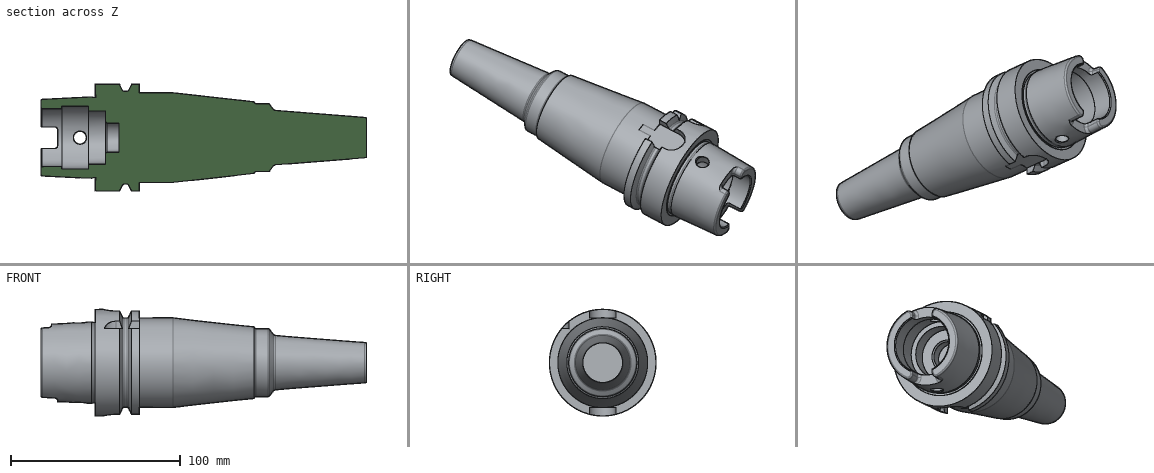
import cadquery as cq
import math


shank_length = 32.0
shank_taper = 1 / 20
shank_large_radius = 24.1
shank_end_round = 1.0

relief_start = -2.3
relief_floor_start = -1.2
relief_radius = 23.8
face_recess_radius = 25.1
face_recess_depth = 0.4

flange_radius = 31.5
flange_width = 26.0
groove_center = 17.9
groove_mouth_width = 7.0
groove_floor_width = 3.0
groove_floor_radius = 27.5
groove_floor_round = 0.9

body_radius = 26.5
body_cylinder_end = 46.0
body_cone_end = 93.6
body_cone_end_radius = 21.2
collar_start = 94.4
collar_foot_round = 0.7
collar_end = 102.5
collar_rim_round = 1.2
collar_radius = 20.1
nose_start = 105.5
nose_foot_round = 1.5
nose_end = 160.0
nose_end_radius = 12.0
nose_half_angle = math.radians(4.5)
nose_chamfer_length = 1.3
nose_chamfer_depth = 0.3

bore_radius = 17.0
bore_chamfer = 0.6
bore_lip_end = -19.6
undercut_radius = 18.5
undercut_end = -4.0
socket_radius = 15.6
socket_end = 6.0
center_hole_radius = 8.5
center_hole_chamfer = 0.9
center_hole_end = 14.0

cross_hole_x = -9.0
cross_hole_radius = 3.75
cross_hole_chamfer = 0.4

drive_slot_width = 12.54
drive_slot_inner_z = 10.0
drive_slot_rim_round = 2.7
drive_slot_floor_round = 1.6
upper_drive_slot_depth = 6.1
lower_drive_slot_depth = 9.8

keyway_width = 15.5
keyway_floor = 26.4
keyway_start = 4.6
keyway_end = 34.0

notch_wall_y = -19.85
notch_floor_z = 20.1
notch_start = 4.6

clearance = 10.0
tolerance = 0.05
edge_inset = 0.7


def shank_radius(x):
    return shank_large_radius + shank_taper * (x - relief_start)


def revolve_about_axis(outline):
    """Revolve a list of (x, radius) points about the tool axis."""
    return cq.Workplane("XY").polyline(outline).close().revolve(360, (0, 0, 0), (1, 0, 0))


def round_circle(body, x, radius, round_radius):
    """Round the circular edge that lies at x with the given radius."""

    def is_that_circle(edge):
        matches_x = abs(edge.Center().x - x) < tolerance
        return matches_x and edge.geomType() == "CIRCLE" and abs(edge.radius() - radius) < tolerance

    return body.edges().filter(is_that_circle).fillet(round_radius)


def make_body():
    half_mouth = groove_mouth_width / 2
    half_floor = groove_floor_width / 2
    nose_chamfer_start = nose_end - nose_chamfer_length
    nose_tip_radius = nose_end_radius - nose_chamfer_depth
    nose_start_radius = nose_end_radius + (nose_chamfer_start - nose_start) * math.tan(nose_half_angle)
    outline = [
        (-shank_length, 0),
        (-shank_length, shank_radius(-shank_length)),
        (relief_start, shank_large_radius),
        (relief_floor_start, relief_radius),
        (face_recess_depth, relief_radius),
        (face_recess_depth, face_recess_radius),
        (0, face_recess_radius),
        (0, flange_radius),
        (groove_center - half_mouth, flange_radius),
        (groove_center - half_floor, groove_floor_radius),
        (groove_center + half_floor, groove_floor_radius),
        (groove_center + half_mouth, flange_radius),
        (flange_width, flange_radius),
        (flange_width, body_radius),
        (body_cylinder_end, body_radius),
        (body_cone_end, body_cone_end_radius),
        (collar_start, collar_radius),
        (collar_end, collar_radius),
        (nose_start, nose_start_radius),
        (nose_chamfer_start, nose_end_radius),
        (nose_end, nose_tip_radius),
        (nose_end, 0),
    ]
    edge_rounds = [
        (groove_center - half_floor, groove_floor_radius, groove_floor_round),
        (groove_center + half_floor, groove_floor_radius, groove_floor_round),
        (collar_start, collar_radius, collar_foot_round),
        (collar_end, collar_radius, collar_rim_round),
        (nose_start, nose_start_radius, nose_foot_round),
    ]
    body = revolve_about_axis(outline)
    for edge_x, edge_radius, round_radius in edge_rounds:
        body = round_circle(body, edge_x, edge_radius, round_radius)
    return body


def make_bore():
    outline = [
        (-shank_length, 0),
        (-shank_length, bore_radius + bore_chamfer),
        (-shank_length + bore_chamfer, bore_radius),
        (bore_lip_end, bore_radius),
        (bore_lip_end, undercut_radius),
        (undercut_end, undercut_radius),
        (undercut_end, socket_radius),
        (socket_end, socket_radius),
        (socket_end, center_hole_radius + center_hole_chamfer),
        (socket_end + center_hole_chamfer, center_hole_radius),
        (center_hole_end, center_hole_radius),
        (center_hole_end, 0),
    ]
    return revolve_about_axis(outline)


def make_cross_hole():
    """Hole along Z through both shank walls, with chamfered mouths."""
    mouth_z = shank_radius(cross_hole_x)
    hole = (
        cq.Workplane("XY", origin=(cross_hole_x, 0, -mouth_z))
        .circle(cross_hole_radius)
        .extrude(2 * mouth_z)
    )
    mouth = cq.Workplane(
        cq.Solid.makeCone(
            cross_hole_radius,
            cross_hole_radius + 2 * cross_hole_chamfer,
            2 * cross_hole_chamfer,
            cq.Vector(cross_hole_x, 0, mouth_z - cross_hole_chamfer),
            cq.Vector(0, 0, 1),
        )
    )
    return hole.union(mouth).union(mouth.mirror("XY"))


def cut_drive_slot(shank, depth, side):
    """Cut a slot across the shank end, toward +Z for side 1 and -Z for side -1."""
    wall_y = drive_slot_width / 2
    floor_x = depth - shank_length
    middle_x = (floor_x - shank_length) / 2
    slot = (
        cq.Workplane("XY")
        .box(depth, drive_slot_width, shank_large_radius, centered=(True, True, False))
        .translate((middle_x, 0, drive_slot_inner_z))
    )
    if side < 0:
        slot = slot.mirror("XY")
    slotted = shank.cut(slot)

    def is_rim_edge(edge):
        middle = edge.Center()
        lies_on_wall = abs(abs(middle.y) - wall_y) < tolerance
        lies_along_slot = abs(middle.x - middle_x) < tolerance
        return lies_on_wall and lies_along_slot and side * middle.z > bore_radius

    def is_floor_corner(edge):
        middle = edge.Center()
        start_y = abs(edge.startPoint().y)
        end_y = abs(edge.endPoint().y)
        lies_on_floor = abs(middle.x - floor_x) < tolerance
        lies_on_side = min(start_y, end_y) > wall_y - tolerance
        lies_inside_shank = math.hypot(middle.y, middle.z) < shank_radius(floor_x) - edge_inset
        return lies_on_floor and lies_on_side and lies_inside_shank and side * middle.z > 0

    slotted = slotted.edges().filter(is_rim_edge).fillet(drive_slot_rim_round)
    return slotted.edges().filter(is_floor_corner).fillet(drive_slot_floor_round)


def round_shank_end(shank):
    """Round the end face where it meets the shank surface and the slot walls."""

    def is_outer_edge(edge):
        middle = edge.Center()
        return math.hypot(middle.y, middle.z) > drive_slot_inner_z + tolerance

    return shank.faces("<X").edges().filter(is_outer_edge).fillet(shank_end_round)


def make_keyway():
    """Flat-floored keyway on the +Z side with a round end toward the shank."""
    radius = keyway_width / 2
    round_x = keyway_start + radius
    return (
        cq.Workplane("XY", origin=(0, 0, keyway_floor))
        .moveTo(keyway_end, -radius)
        .lineTo(keyway_end, radius)
        .lineTo(round_x, radius)
        .threePointArc((keyway_start, 0), (round_x, -radius))
        .close()
        .extrude(clearance)
    )


def make_orientation_notch():
    """Corner notch on the -Y, +Z side, milled along Z with the keyway cutter."""
    radius = keyway_width / 2
    round_x = notch_start + radius
    round_y = notch_wall_y - radius
    return (
        cq.Workplane("XY", origin=(0, 0, notch_floor_z))
        .moveTo(flange_width, notch_wall_y)
        .lineTo(round_x, notch_wall_y)
        .threePointArc((notch_start, round_y), (round_x, round_y - radius))
        .lineTo(flange_width, round_y - radius)
        .close()
        .extrude(flange_radius)
    )


body = make_body()
body = cut_drive_slot(body, upper_drive_slot_depth, 1)
body = cut_drive_slot(body, lower_drive_slot_depth, -1)
body = round_shank_end(body)

keyway = make_keyway()

result = (
    body
    .cut(make_bore())
    .cut(make_cross_hole())
    .cut(keyway)
    .cut(keyway.mirror("XY"))
    .cut(make_orientation_notch())
)